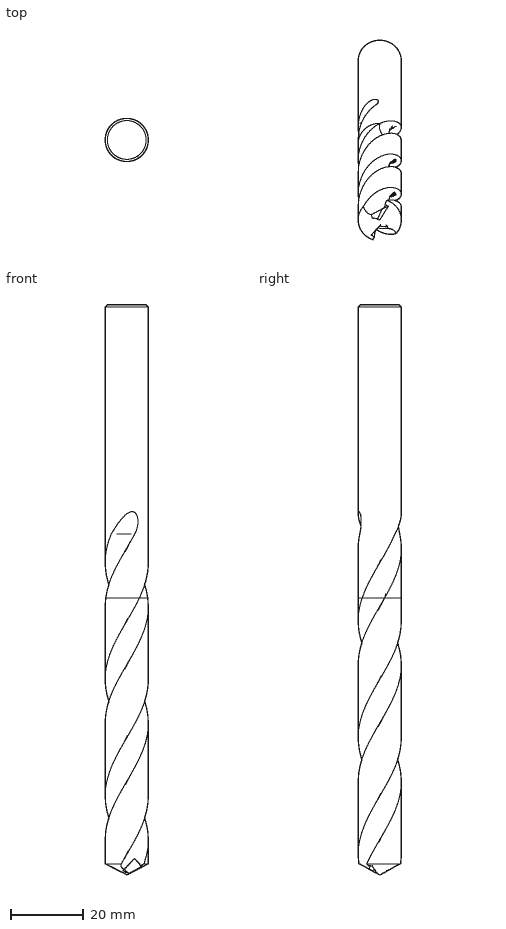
import cadquery as cq

LENGTH = 158.0
DIAMETER = 12.0
RADIUS = DIAMETER / 2
TOP_CHAMFER = 0.6
TIP_HEIGHT = 3.2
SPLIT_Z = 76.8

FLUTE_COUNT = 2
FLUTE_PITCH = 64.6
FLUTE_RADIUS = 3.5
FLUTE_OFFSET = RADIUS
FLUTE_TOP_Z = 94.5
FLUTE_TOP_ANGLE = -102.0
FLUTE_BOTTOM_Z = -1.6

RUNOUT_SIDE = 0.68
RUNOUT_OUT = 0.4
RUNOUT_RISE = 11.0

GASH_TILT = 45.0
GASH_TURN = -25.0
GASH_LEAN = 15.0
GASH_START_X = -0.6
GASH_START_Y = -0.6
GASH_START_Z = 1.6
GASH_LENGTH = 4.3
GASH_DEPTH = 6.3


def drill_blank():
    """Full-length round bar with a conical point and a chamfered top."""
    profile = [
        (0, 0),
        (RADIUS, TIP_HEIGHT),
        (RADIUS, LENGTH - TOP_CHAMFER),
        (RADIUS - TOP_CHAMFER, LENGTH),
        (0, LENGTH),
    ]
    return cq.Workplane("XZ").polyline(profile).close().revolve(360, (0, 0), (0, 1))


def flute_helix():
    """Helical part of a flute, ending on the +X side of the axis."""
    height = FLUTE_TOP_Z - FLUTE_BOTTOM_Z
    twist = 360 * height / FLUTE_PITCH
    cutter = cq.Workplane("XY").pushPoints([(FLUTE_OFFSET, 0)]).circle(FLUTE_RADIUS)
    cutter = cutter.twistExtrude(height, twist)
    return cutter.rotate((0, 0, 0), (0, 0, 1), -twist).translate((0, 0, FLUTE_BOTTOM_Z))


def flute_runout():
    """Slanted cylinder that carries the end of the helix out through the surface."""
    circle = cq.Wire.makeCircle(FLUTE_RADIUS, cq.Vector(FLUTE_OFFSET, 0, FLUTE_TOP_Z), cq.Vector(0, 0, 1))
    travel = cq.Vector(RUNOUT_OUT, RUNOUT_SIDE, 1) * RUNOUT_RISE
    return cq.Workplane(cq.Solid.extrudeLinear(circle, [], travel))


def tip_gash():
    """Tilted, leaning rectangular cut beside the point."""
    block = cq.Workplane("XY").box(GASH_LENGTH, GASH_DEPTH, GASH_DEPTH, centered=False)
    block = block.translate((0, -GASH_DEPTH, -GASH_DEPTH))
    block = block.rotate((0, 0, 0), (1, 0, 0), GASH_LEAN)
    block = block.rotate((0, 0, 0), (0, 1, 0), -GASH_TILT)
    block = block.rotate((0, 0, 0), (0, 0, 1), GASH_TURN)
    return block.translate((GASH_START_X, GASH_START_Y, GASH_START_Z))


def fluted_drill():
    """Drill blank with every flute and gash cut, still in one piece."""
    drill = drill_blank()
    for index in range(FLUTE_COUNT):
        turn = 360 * index / FLUTE_COUNT
        for cutter in (flute_helix(), flute_runout()):
            drill = drill.cut(cutter.rotate((0, 0, 0), (0, 0, 1), FLUTE_TOP_ANGLE + turn))
        drill = drill.cut(tip_gash().rotate((0, 0, 0), (0, 0, 1), turn))
    return drill


def slab(bottom, top):
    """Block wider than the drill between two heights."""
    return cq.Workplane("XY").workplane(offset=bottom).rect(2 * DIAMETER, 2 * DIAMETER).extrude(top - bottom)


whole = fluted_drill()
cutting_end = whole.intersect(slab(0, SPLIT_Z))
shank = whole.intersect(slab(SPLIT_Z, LENGTH))

result = cq.Compound.makeCompound([cutting_end.val(), shank.val()])